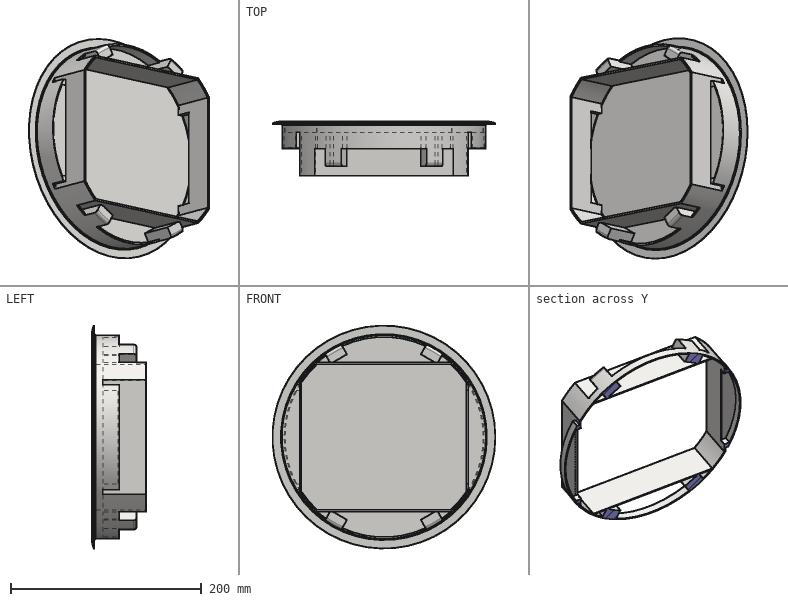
import cadquery as cq
import math

flange_radius = 117.0
flange_depth = 2.8
rim_depth = 2.0
crown_radius = 107.6
collar_chamfer = 1.2

ring_radius = 107.0
ring_depth = 28.5
wall = 2.0
bore_radius = ring_radius - wall

box_width = 177.0
box_height = 156.8
box_depth = 57.0

floor_depth = 11.5
opening_radius = 104.4
lid_radius = 104.0

side_half_height = 55.0
pocket_half_height = 49.1
cap_thickness = 1.2

tab_angle = 30.0
tab_width = 19.7
tab_inner_radius = 94.5
tab_depth = 47.0
tab_fillet = 3.5


def disc(radius, start, end):
    """Solid disc between two depths."""
    return cq.Workplane("XZ", origin=(0, -start, 0)).circle(radius).extrude(end - start)


def block(x_size, z_size, start, end, x_center=0.0, z_center=0.0):
    """Rectangular block between two depths."""
    plane = cq.Workplane("XZ", origin=(0, -start, 0)).center(x_center, z_center)
    return plane.rect(x_size, z_size).extrude(end - start)


def make_flange():
    """Flange with a domed back edge and a chamfered collar where it meets the ring."""
    dome_run = flange_radius - crown_radius
    dome_radius = (dome_run**2 + rim_depth**2) / (2 * rim_depth)
    half_run = dome_run / 2
    half_drop = dome_radius - math.sqrt(dome_radius**2 - half_run**2)
    profile = (
        cq.Workplane("XY")
        .lineTo(crown_radius, 0)
        .threePointArc((crown_radius + half_run, -half_drop), (flange_radius, -rim_depth))
        .lineTo(flange_radius, -flange_depth)
        .lineTo(ring_radius + collar_chamfer, -flange_depth)
        .lineTo(ring_radius, -flange_depth - collar_chamfer)
        .lineTo(0, -flange_depth - collar_chamfer)
        .close()
    )
    return profile.revolve(360, (0, 0, 0), (0, 1, 0))


def box_cavity():
    """Inside of the box, with corners that follow the bore of the ring."""
    cavity = block(box_width - 2 * wall, box_height - 2 * wall, floor_depth, box_depth)
    return cavity.intersect(disc(bore_radius, floor_depth, box_depth))


def make_box_tube():
    """Rectangular tube whose corners follow the ring."""
    outside = block(box_width, box_height, floor_depth, box_depth)
    outside = outside.intersect(disc(ring_radius, floor_depth, box_depth))
    return outside.cut(box_cavity())


def make_side_caps():
    """Blocks filling the ring on both sides of the box, in front of the floor."""
    sides = disc(ring_radius, floor_depth, ring_depth)
    sides = sides.intersect(block(2 * ring_radius, 2 * side_half_height, floor_depth, ring_depth))
    return sides.cut(block(box_width, box_height, floor_depth, ring_depth))


def make_pockets():
    """Hollows behind the side caps, open toward the inside of the box."""
    pocket_end = ring_depth - cap_thickness
    pockets = block(2 * ring_radius, 2 * pocket_half_height, floor_depth, pocket_end)
    return pockets.intersect(disc(bore_radius, floor_depth, pocket_end))


def make_slots():
    """Clearance beside the box, between the side caps and the box corners."""
    band = block(2 * ring_radius, box_height, floor_depth, ring_depth)
    return band.cut(block(box_width, box_height, floor_depth, ring_depth))


def make_tabs():
    """Four tabs that follow the ring outside, each with a rounded front outer edge."""
    envelope = disc(ring_radius, floor_depth, tab_depth).faces("<Y").edges().fillet(tab_fillet)
    envelope = envelope.cut(box_cavity())
    bar_center = tab_inner_radius + ring_radius / 2
    bar = block(tab_width, ring_radius, floor_depth, tab_depth, 0, bar_center)
    tabs = cq.Workplane("XZ")
    for base in (0, 180):
        for side in (-1, 1):
            turned_bar = bar.rotate((0, 0, 0), (0, 1, 0), base + side * tab_angle)
            tabs = tabs.add(envelope.intersect(turned_bar))
    return tabs


def make_lid():
    """Disc with a flat at the top and bottom, in line with the box cavity."""
    flats = block(2 * ring_radius, box_height - 2 * wall, 0, floor_depth)
    return disc(lid_radius, 0, floor_depth).intersect(flats)


def make_frame():
    """Flanged ring, box, side caps and tabs around the opening for the lid."""
    frame = make_flange().union(disc(ring_radius, flange_depth, ring_depth))
    frame = frame.cut(disc(bore_radius, floor_depth, ring_depth))
    frame = frame.cut(make_slots())
    frame = frame.union(make_side_caps()).union(make_box_tube())
    for tab in make_tabs().vals():
        frame = frame.union(tab)
    frame = frame.cut(make_pockets())
    opening = block(2 * ring_radius, box_height - 2 * wall, 0, floor_depth)
    return frame.cut(opening.intersect(disc(opening_radius, 0, floor_depth)))


frame = make_frame()
lid = make_lid()

result = cq.Compound.makeCompound([frame.val(), lid.val()])